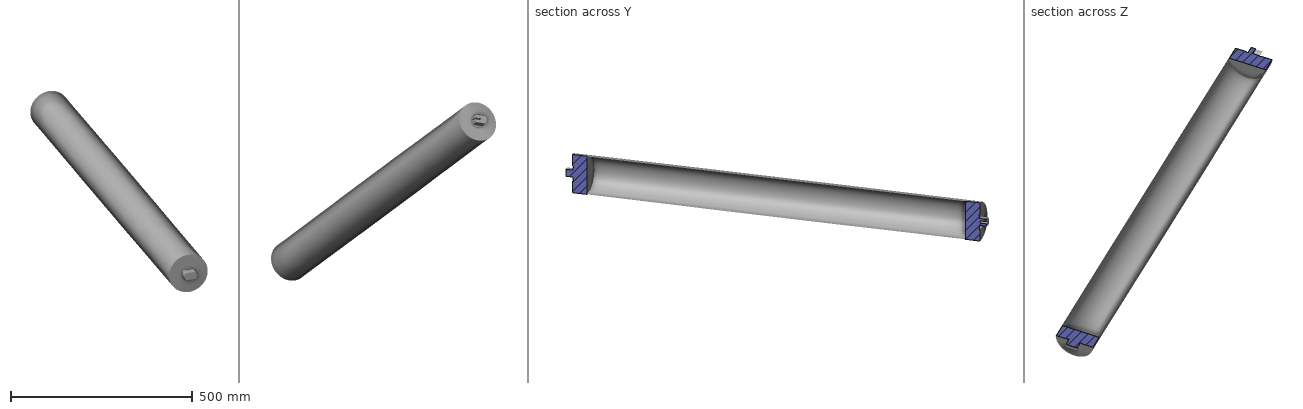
import cadquery as cq

total_length = 1257.0
shaft_exposure = 20.0
shell_length = total_length - 2 * shaft_exposure

crown_diameter = 113.0
end_diameter = 112.0
crown_length = shell_length / 3
rim_length = 11.0

bore_diameter = 108.0
plug_length = 44.0
bore_length = shell_length - 2 * plug_length

groove_outer_diameter = 44.0
groove_inner_diameter = 41.0
groove_depth = 3.0

shaft_diameter = 35.0
across_flats = 21.0

slot_width = 5.0
slot_overrun = slot_width / 2
slot_depth = shaft_exposure


def make_shell():
    """Revolve the crowned drum with a short straight rim at each end, then bore it hollow."""
    half_shell = shell_length / 2
    half_crown = crown_length / 2
    cone_end = half_shell - rim_length
    crown_radius = crown_diameter / 2
    end_radius = end_diameter / 2
    profile = (
        cq.Workplane("XY")
        .moveTo(-half_shell, 0)
        .lineTo(-half_shell, end_radius)
        .lineTo(-cone_end, end_radius)
        .lineTo(-half_crown, crown_radius)
        .lineTo(half_crown, crown_radius)
        .lineTo(cone_end, end_radius)
        .lineTo(half_shell, end_radius)
        .lineTo(half_shell, 0)
        .close()
    )
    drum = profile.revolve(360, (0, 0, 0), (1, 0, 0))
    bore = (
        cq.Workplane("YZ", origin=(-bore_length / 2, 0, 0))
        .circle(bore_diameter / 2)
        .extrude(bore_length)
    )
    return drum.cut(bore)


def make_groove(side):
    """Stepped recess around the shaft on the +X (1) or -X (-1) face of the drum."""
    face = cq.Workplane("YZ", origin=(side * shell_length / 2, 0, 0))
    mouth = face.circle(groove_outer_diameter / 2).extrude(-side * groove_depth / 2)
    floor = face.circle(groove_inner_diameter / 2).extrude(-side * groove_depth)
    return mouth.union(floor)


def make_shaft_end(side):
    """Round shoulder standing in the groove, continued by a stub with flats facing +Z and -Z."""
    floor_x = side * (shell_length / 2 - groove_depth)
    shoulder_length = groove_depth / 2
    end_length = groove_depth + shaft_exposure
    floor = cq.Workplane("YZ", origin=(floor_x, 0, 0))
    shoulder = floor.circle(shaft_diameter / 2).extrude(side * shoulder_length)
    bar = floor.circle(shaft_diameter / 2).extrude(side * end_length)
    flats = cq.Workplane("XY").box(total_length, shaft_diameter * 2, across_flats)
    return bar.intersect(flats).union(shoulder)


def make_cable_slot():
    """Slot from just past the shaft axis out through the +Y side of the stub."""
    slot = cq.Workplane("XY").box(
        slot_depth, shaft_diameter, slot_width, centered=(False, False, True)
    )
    return slot.translate((-total_length / 2, -slot_overrun, 0))


result = make_shell()
for side in (-1, 1):
    result = result.cut(make_groove(side)).union(make_shaft_end(side))
result = result.cut(make_cable_slot())